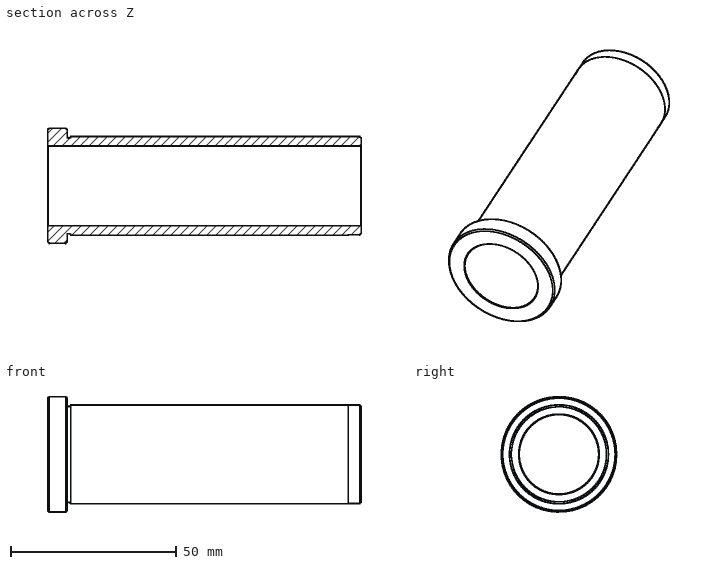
import cadquery as cq

length = 95.0
flange_diameter = 35.0
flange_width = 6.0
flange_chamfer = 0.5
body_diameter = 30.0
bore_diameter = 24.0
bore_chamfer = 0.2

groove_width = 1.0
groove_depth = 0.5
groove_flange_depth = 0.3

lead_length = 4.0
lead_reduction = 0.1
end_chamfer = 0.6

flange_radius = flange_diameter / 2
body_radius = body_diameter / 2
bore_radius = bore_diameter / 2
groove_radius = body_radius - groove_depth
lead_radius = body_radius - lead_reduction / 2
x_start = -length / 2
x_end = length / 2
x_flange = x_start + flange_width
x_groove = x_flange + groove_width / 2
x_body = x_flange + groove_width
x_lead = x_end - lead_length

flange_outline = [
    (x_start, bore_radius + bore_chamfer),
    (x_start, flange_radius - flange_chamfer),
    (x_start + flange_chamfer, flange_radius),
    (x_flange - flange_chamfer, flange_radius),
    (x_flange, flange_radius - flange_chamfer),
    (x_flange, body_radius - groove_flange_depth),
]
body_outline = [
    (x_lead, body_radius),
    (x_lead, lead_radius),
    (x_end - end_chamfer, lead_radius),
    (x_end, lead_radius - end_chamfer),
    (x_end, bore_radius + bore_chamfer),
    (x_end - bore_chamfer, bore_radius),
    (x_start + bore_chamfer, bore_radius),
]
section = (
    cq.Workplane("XY")
    .polyline(flange_outline)
    .threePointArc((x_groove, groove_radius), (x_body, body_radius))
    .polyline(body_outline, includeCurrent=True)
    .close()
)
result = section.revolve(360, (0, 0, 0), (1, 0, 0))